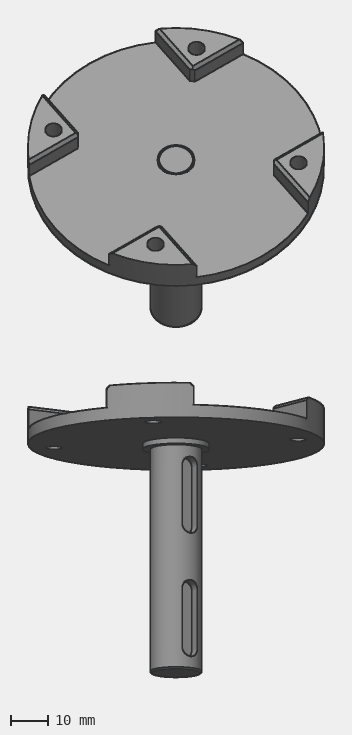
import cadquery as cq

plate_diameter = 80.0
plate_thickness = 3.5

pad_height = 6.0
pad_inner_offset = 18.5
pad_chamfer = 1.0
pad_hole_diameter = 4.5
pad_hole_circle_radius = 33.5

spigot_diameter = 10.0
shoulder_diameter = 18.0
shoulder_thickness = 1.5
journal_diameter = 14.0
journal_length = 61.4
shaft_chamfer = 0.5

keyway_width = 5.0
keyway_length = 21.0
keyway_depth = 3.0
upper_keyway_gap = 3.0
lower_keyway_gap = 3.6

shoulder_bottom = -shoulder_thickness
shaft_bottom = shoulder_bottom - journal_length


def make_pad_block():
    """Chamfered block in the +X +Y quadrant that reaches past the plate rim."""
    block_size = plate_diameter / 2
    return (
        cq.Workplane("XY")
        .workplane(offset=plate_thickness)
        .rect(block_size, block_size, centered=False)
        .extrude(pad_height)
        .edges("(<X and >Z) or (<Y and >Z)")
        .chamfer(pad_chamfer)
        .edges("<X and <Y")
        .chamfer(pad_chamfer)
        .translate((pad_inner_offset, pad_inner_offset, 0))
    )


def make_plate():
    """Round plate with four drilled pads and a central bore for the spigot."""
    clearance = (
        cq.Workplane("XY")
        .workplane(offset=plate_thickness)
        .rect(plate_diameter, plate_diameter)
        .extrude(pad_height)
    )
    pad_block = make_pad_block()
    for quarter_turn in range(4):
        clearance = clearance.cut(pad_block.rotate((0, 0, 0), (0, 0, 1), 90 * quarter_turn))

    disc = cq.Workplane("XY").circle(plate_diameter / 2).extrude(plate_thickness + pad_height)
    plate = disc.cut(clearance)

    pad_holes = (
        cq.Workplane("XY")
        .polarArray(pad_hole_circle_radius, 45, 360, 4)
        .circle(pad_hole_diameter / 2)
        .extrude(plate_thickness + pad_height)
    )
    bore = cq.Workplane("XY").circle(spigot_diameter / 2).extrude(plate_thickness)
    return plate.cut(pad_holes).cut(bore)


def make_keyway(center_z):
    """Round-ended keyway cutter, sunk from the +Y side of the journal."""
    keyway_floor = journal_diameter / 2 - keyway_depth
    return (
        cq.Workplane("XZ", origin=(0, keyway_floor, center_z))
        .slot2D(keyway_length, keyway_width, 90)
        .extrude(-2 * keyway_depth)
    )


def make_shaft():
    """Turned shaft with chamfered ends and two keyways in line."""
    spigot = (
        cq.Workplane("XY")
        .circle(spigot_diameter / 2)
        .extrude(plate_thickness)
        .faces(">Z")
        .chamfer(shaft_chamfer)
    )
    shoulder = cq.Workplane("XY").circle(shoulder_diameter / 2).extrude(-shoulder_thickness)
    journal = (
        cq.Workplane("XY")
        .workplane(offset=shaft_bottom)
        .circle(journal_diameter / 2)
        .extrude(journal_length)
        .faces("<Z")
        .chamfer(shaft_chamfer)
    )
    shaft = spigot.union(shoulder).union(journal)

    upper_center = shoulder_bottom - upper_keyway_gap - keyway_length / 2
    lower_center = shaft_bottom + lower_keyway_gap + keyway_length / 2
    for center_z in (upper_center, lower_center):
        shaft = shaft.cut(make_keyway(center_z))
    return shaft


plate = make_plate()
shaft = make_shaft()

result = cq.Compound.makeCompound([plate.val(), shaft.val()])